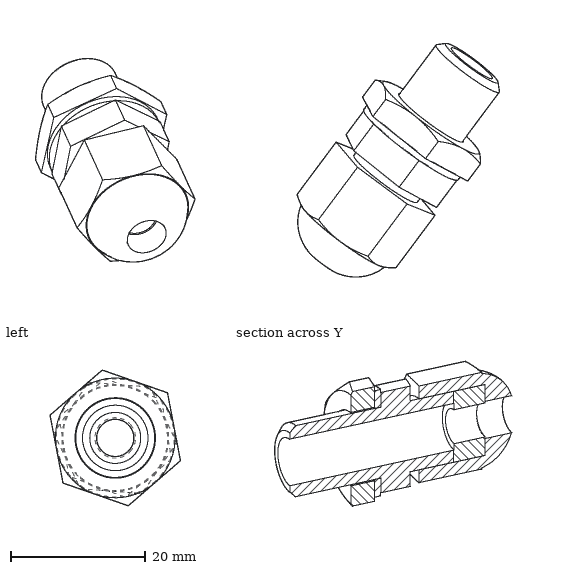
import cadquery as cq
import math


TOTAL_LENGTH = 37.2
LOCK_NUT_START = 10.23
LOCK_NUT_LENGTH = 4.0
WASHER_LENGTH = 1.0
COLLAR_LENGTH = 5.0
CAP_GAP = 1.4
CAP_HEX_LENGTH = 9.82

WASHER_START = LOCK_NUT_START + LOCK_NUT_LENGTH
COLLAR_START = WASHER_START + WASHER_LENGTH
CAP_START = COLLAR_START + COLLAR_LENGTH + CAP_GAP
CAP_CHAMFER_START = CAP_START + CAP_HEX_LENGTH

LOCK_NUT_FLATS = 17.82
LOCK_NUT_TURN = 79.2
COLLAR_FLATS = 15.48
COLLAR_TURN = 80.6
CAP_FLATS = 15.9
CAP_TURN = 64.4
CORNER_CHAMFER_ANGLE = 30.0

TUBE_RADIUS = 5.88
TUBE_CHAMFER = 1.0
BORE_RADIUS = 3.8
CLEARANCE = 0.1
WASHER_RADIUS = 8.78
SEAL_HOLE_RADIUS = 2.75
CAP_MOUTH_RADIUS = 3.0
DOME_BASE_RADIUS = 7.8
DOME_ARC_RADIUS = 6.8

SEAL_LENGTH = 5.2
SEAL_END = 32.75
TUBE_LENGTH = SEAL_END - SEAL_LENGTH


def corner_radius(flats):
    """Distance from the centre of a hexagon to its corners."""
    return flats / 2 / math.cos(math.radians(30))


def corner_chamfer_length(flats):
    """Length along X of a chamfer that fades out at the middle of each flat."""
    depth = corner_radius(flats) - flats / 2
    return depth * math.tan(math.radians(CORNER_CHAMFER_ANGLE))


def cylinder(start, length, radius):
    return cq.Workplane("YZ", origin=(start, 0, 0)).circle(radius).extrude(length)


def hex_prism(start, length, flats, turn):
    prism = cq.Workplane("YZ", origin=(start, 0, 0)).polygon(6, 2 * corner_radius(flats)).extrude(length)
    return prism.rotate((0, 0, 0), (1, 0, 0), turn)


def revolve_about_x(profile):
    return profile.close().revolve(360, (0, 0, 0), (1, 0, 0))


def make_gland_body():
    """Tube with a chamfered tip, a hexagonal collar and a straight bore."""
    tube = cylinder(0, TUBE_LENGTH, TUBE_RADIUS).faces("<X").chamfer(TUBE_CHAMFER)
    collar = hex_prism(COLLAR_START, COLLAR_LENGTH, COLLAR_FLATS, COLLAR_TURN)
    return tube.union(collar).cut(cylinder(0, TUBE_LENGTH, BORE_RADIUS))


def make_lock_nut():
    """Hexagonal nut with its corners chamfered on the -X face."""
    corners = corner_radius(LOCK_NUT_FLATS)
    chamfer_end = LOCK_NUT_START + corner_chamfer_length(LOCK_NUT_FLATS)
    envelope = revolve_about_x(
        cq.Workplane("XY")
        .moveTo(LOCK_NUT_START, 0)
        .lineTo(LOCK_NUT_START, LOCK_NUT_FLATS / 2)
        .lineTo(chamfer_end, corners)
        .lineTo(WASHER_START, corners)
        .lineTo(WASHER_START, 0)
    )
    hexagon = hex_prism(LOCK_NUT_START, LOCK_NUT_LENGTH, LOCK_NUT_FLATS, LOCK_NUT_TURN)
    hole = cylinder(LOCK_NUT_START, LOCK_NUT_LENGTH, TUBE_RADIUS + CLEARANCE)
    return hexagon.intersect(envelope).cut(hole)


def make_washer():
    """Flat ring between the lock nut and the collar."""
    ring = cylinder(WASHER_START, WASHER_LENGTH, WASHER_RADIUS)
    return ring.cut(cylinder(WASHER_START, WASHER_LENGTH, TUBE_RADIUS))


def make_seal():
    """Ring that fills the cap nut beyond the end of the tube."""
    ring = cylinder(TUBE_LENGTH, SEAL_LENGTH, TUBE_RADIUS)
    return ring.cut(cylinder(TUBE_LENGTH, SEAL_LENGTH, SEAL_HOLE_RADIUS))


def make_cap_nut():
    """Hexagonal nut with chamfered corners and a rounded dome, open at its tip."""
    dome_base = CAP_CHAMFER_START + corner_chamfer_length(CAP_FLATS)
    corners = corner_radius(CAP_FLATS)
    envelope = revolve_about_x(
        cq.Workplane("XY")
        .moveTo(CAP_START, 0)
        .lineTo(CAP_START, corners)
        .lineTo(CAP_CHAMFER_START, corners)
        .lineTo(dome_base, CAP_FLATS / 2)
        .lineTo(dome_base, DOME_BASE_RADIUS)
        .radiusArc((TOTAL_LENGTH, CAP_MOUTH_RADIUS), DOME_ARC_RADIUS)
        .lineTo(TOTAL_LENGTH, 0)
    )
    hexagon = hex_prism(CAP_START, TOTAL_LENGTH - CAP_START, CAP_FLATS, CAP_TURN)
    cavity = cylinder(CAP_START, SEAL_END - CAP_START, TUBE_RADIUS)
    mouth = cylinder(SEAL_END, TOTAL_LENGTH - SEAL_END, CAP_MOUTH_RADIUS)
    return hexagon.intersect(envelope).cut(cavity).cut(mouth)


gland_body = make_gland_body()
lock_nut = make_lock_nut()
washer = make_washer()
seal = make_seal()
cap_nut = make_cap_nut()

result = cq.Compound.makeCompound(
    [gland_body.val(), lock_nut.val(), washer.val(), seal.val(), cap_nut.val()]
)